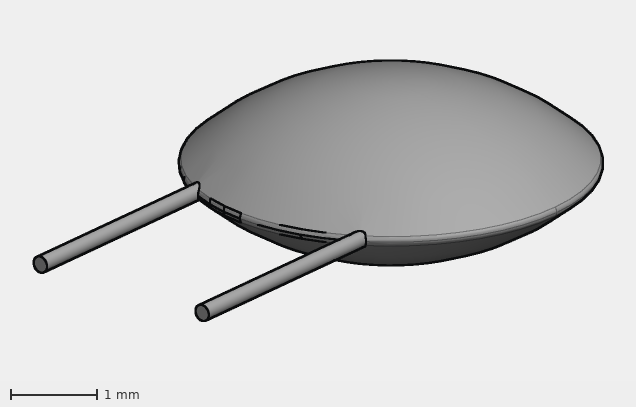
import cadquery as cq
import math

body_diameter = 4.92
body_thickness = 2.0
rim_radius = 0.08

lead_diameter = 0.2
lead_pitch = 2.4
lead_tip_y = -5.0
lead_root_y = -1.5

half_thickness = body_thickness / 2
rim_center_x = body_diameter / 2 - rim_radius

dome_radius = (rim_center_x**2 + half_thickness**2 - rim_radius**2) / (
    2 * (half_thickness - rim_radius)
)
dome_center_z = half_thickness - dome_radius
rim_angle = math.atan2(-dome_center_z, rim_center_x)


def dome_point(angle):
    """Point (x, z) on the upper dome at an elevation seen from the dome center."""
    return (dome_radius * math.cos(angle), dome_center_z + dome_radius * math.sin(angle))


def mirrored(point):
    """Reflect an (x, z) point to the lower half of the body."""
    return (point[0], -point[1])


def make_body():
    pole = (0, half_thickness)
    dome_middle = dome_point((math.pi / 2 + rim_angle) / 2)
    dome_edge = dome_point(rim_angle)
    rim_tip = (body_diameter / 2, 0)
    rim_middle = (
        rim_center_x + rim_radius * math.cos(rim_angle / 2),
        rim_radius * math.sin(rim_angle / 2),
    )
    return (
        cq.Workplane("XZ")
        .moveTo(*pole)
        .threePointArc(dome_middle, dome_edge)
        .threePointArc(rim_middle, rim_tip)
        .threePointArc(mirrored(rim_middle), mirrored(dome_edge))
        .threePointArc(mirrored(dome_middle), mirrored(pole))
        .close()
        .revolve(360, (0, 0, 0), (0, 1, 0))
    )


def make_lead(x):
    return (
        cq.Workplane("XZ", origin=(x, lead_root_y, 0))
        .circle(lead_diameter / 2)
        .extrude(lead_root_y - lead_tip_y)
    )


result = make_body()
for side in (-1, 1):
    result = result.union(make_lead(side * lead_pitch / 2))